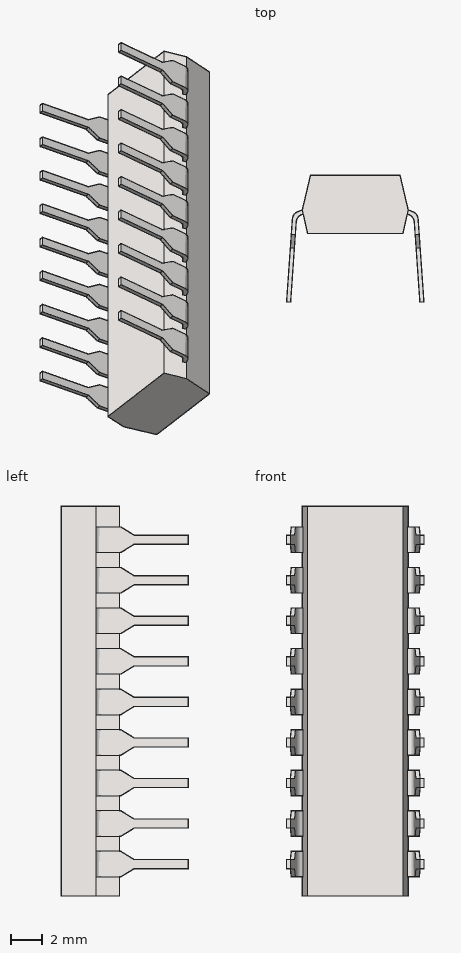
import cadquery as cq
import math

BODY_LENGTH = 24.5
BODY_DEPTH = 3.68
BACK_WIDTH = 5.64
PARTING_WIDTH = 6.67
FRONT_WIDTH = 6.0
PARTING_DEPTH = 2.18

PINS_PER_ROW = 9
PIN_PITCH = 2.55
PIN_THICKNESS = 0.27
SHOULDER_WIDTH = 1.62
TIP_WIDTH = 0.6
PIN_SPAN = 8.65
TOTAL_DEPTH = 8.0
SHOULDER_DEPTH = 3.75
NECK_DEPTH = 4.58

BEND_RADIUS = 0.55
CORNER_DEPTH = 2.43
LEG_SPLAY = 4.0
ROOT_SLOPE = 22.0
ROOT_INSET = 0.25
PIN_ROW_OFFSET = -0.05


def make_body():
    """Prism with the six-sided package cross-section, widest at the parting line."""
    half_outline = [
        (BACK_WIDTH / 2, 0),
        (PARTING_WIDTH / 2, -PARTING_DEPTH),
        (FRONT_WIDTH / 2, -BODY_DEPTH),
    ]
    mirrored = [(-x, y) for x, y in reversed(half_outline)]
    outline = cq.Workplane("XY").polyline(half_outline + mirrored).close()
    return outline.extrude(BODY_LENGTH / 2, both=True)


def make_bent_strip():
    """Full-width strip following the bent profile of a pin on the +X side."""
    splay = math.radians(LEG_SPLAY)
    slope = math.radians(ROOT_SLOPE)
    tip_x = PIN_SPAN / 2
    root_x = PARTING_WIDTH / 2 - ROOT_INSET
    corner_x = tip_x - (TOTAL_DEPTH - CORNER_DEPTH) * math.tan(splay)
    root_y = -CORNER_DEPTH + (corner_x - root_x) * math.tan(slope)

    half_turn = (math.pi / 2 - slope - splay) / 2
    miter_length = PIN_THICKNESS / math.cos(half_turn)
    miter_angle = splay + half_turn
    inner_corner = (
        corner_x - miter_length * math.cos(miter_angle),
        -CORNER_DEPTH - miter_length * math.sin(miter_angle),
    )
    outline = [
        (root_x, root_y),
        (corner_x, -CORNER_DEPTH),
        (tip_x, -TOTAL_DEPTH),
        (tip_x - PIN_THICKNESS / math.cos(splay), -TOTAL_DEPTH),
        inner_corner,
        (root_x, root_y - PIN_THICKNESS / math.cos(slope)),
    ]
    strip = cq.Workplane("XY").polyline(outline).close().extrude(SHOULDER_WIDTH / 2, both=True)
    at_outer_bend = cq.selectors.NearestToPointSelector((corner_x, -CORNER_DEPTH, 0))
    at_inner_bend = cq.selectors.NearestToPointSelector((*inner_corner, 0))
    along_bend = strip.edges("|Z")
    return along_bend.edges(at_outer_bend + at_inner_bend).fillet(BEND_RADIUS)


def make_pin():
    """Bent strip trimmed to a wide shoulder that tapers to a narrow tip."""
    upper_edge = [
        (0, SHOULDER_WIDTH / 2),
        (-SHOULDER_DEPTH, SHOULDER_WIDTH / 2),
        (-NECK_DEPTH, TIP_WIDTH / 2),
        (-TOTAL_DEPTH, TIP_WIDTH / 2),
    ]
    lower_edge = [(y, -z) for y, z in reversed(upper_edge)]
    silhouette = cq.Workplane("YZ").polyline(upper_edge + lower_edge).close().extrude(PIN_SPAN)
    return make_bent_strip().intersect(silhouette)


result = make_body()
right_pin = make_pin()
left_pin = right_pin.mirror("YZ")
for index in range(PINS_PER_ROW):
    height = (index - (PINS_PER_ROW - 1) / 2) * PIN_PITCH + PIN_ROW_OFFSET
    for pin in (right_pin, left_pin):
        result = result.union(pin.translate((0, 0, height)))